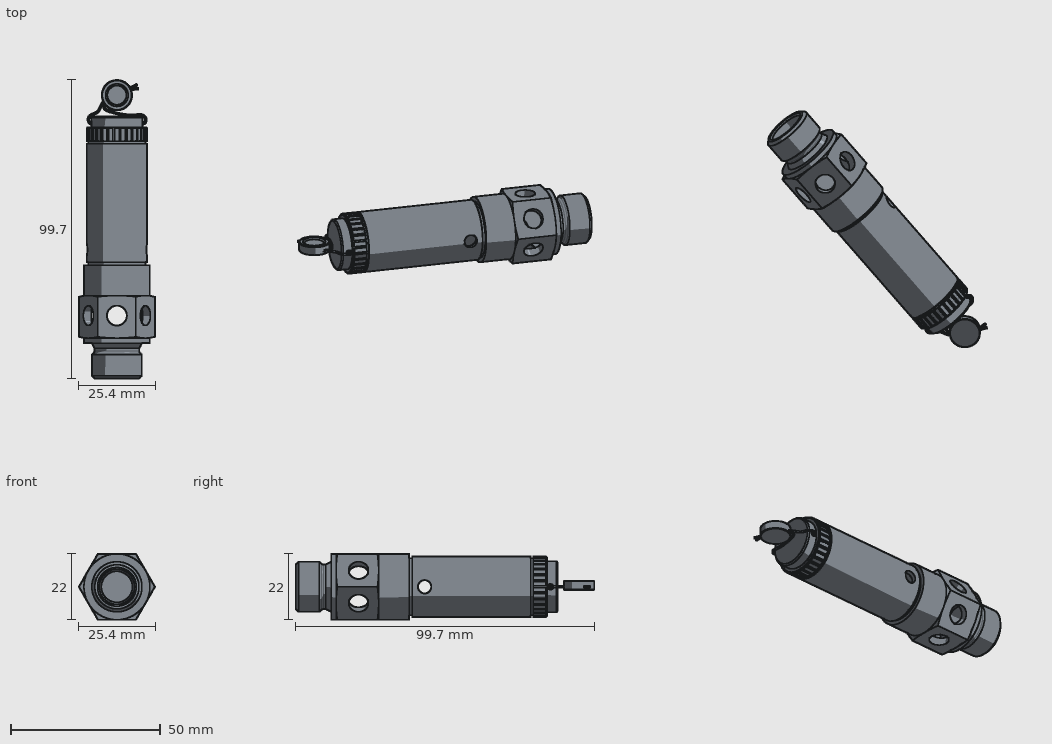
import cadquery as cq
import math


THREAD_R = 8.4
INLET_CHAMFER = 1.0
THREAD_END_Y = 8.0
GROOVE_R = 7.5
GROOVE_END_Y = 10.1
GROOVE_FILLET_R = 1.1
GROOVE_CONE_ANGLE = math.radians(45)

ACROSS_FLATS = 22.0
HEX_SIDES = 6
COLLAR_R = ACROSS_FLATS / 2
HEX_CORNER_R = COLLAR_R / math.cos(math.pi / HEX_SIDES)
FLANGE_Y = 11.9
HEX_START_Y = 13.6
HEX_END_Y = 27.7
HEX_CORNER_DROP = 0.4
HOUSING_END_Y = 37.9
OUTLET_PAIRS = 3
OUTLET_R = 3.3
OUTLET_Y = 21.0

MOUTH_R = 6.5
INLET_R = 5.9
INLET_END_Y = 5.0
SEAT_R = 5.2
SEAT_Y = 13.0
CHAMBER_R = 8.6

DISC_START_Y = 33.1
DISC_END_Y = 40.4
DISH_SPHERE_R = 16.9

TUBE_R = 10.12
TUBE_NECK_R = 9.6
TUBE_NECK_END_Y = 38.9
TUBE_END_Y = 78.5
VENT_R = 2.2
VENT_Y = 43.1

CAP_NECK_R = TUBE_NECK_R
GRIP_START_Y = 79.3
GRIP_END_Y = 83.9
GRIP_CHAMFER = 0.4
GRIP_GROOVES = 30
GRIP_GROOVE_WIDTH = 0.6
GRIP_GROOVE_DEPTH = 0.5
KNOB_R = 8.6
KNOB_END_Y = 87.5
KNOB_CHAMFER = 0.5
WIRE_HOLE_R = 0.5
WIRE_HOLE_Y = 85.0
WIRE_MOUTH_R = 1.0
WIRE_MOUTH_DEPTH = 1.0

TOTAL_LENGTH = 99.7
SEAL_R = 5.1
SEAL_Y = TOTAL_LENGTH - SEAL_R
SEAL_BOTTOM_Z = -1.1
SEAL_TOP_Z = 2.0
SEAL_CHAMFER = 0.2
SEAL_RECESS_R = 3.8
SEAL_FLOOR_R = 3.2
SEAL_RECESS_DEPTH = 0.5

WIRE_R = 0.3
STRAND_OFFSET = 0.35
STRAND_REACH = 4.0
STRAND_ANGLE = math.radians(27)
UPPER_TAIL_END = (6.7, 98.1)
UPPER_TAIL_BEND = (5.6, 97.5)
LOWER_TAIL_END = (7.2, 96.7)
LEFT_BENDS = [(-4.8, 91.9), (-5.6, 90.4), (-6.6, 88.9), (-8.3, 88.1), (-9.4, 87.1), (-9.5, 85.9)]
RIGHT_BENDS = [
    (9.6, 85.7), (9.6, 86.8), (8.7, 87.8), (6.0, 87.9),
    (2.2, 88.1), (-1.3, 88.8), (-3.1, 89.4), (-4.2, 90.2), (-4.2, 91.4),
]


def turned(outline, seam_angle=0):
    """Revolve a closed half outline, drawn as (radius, y), around the Y axis."""
    body = outline.close().revolve(360, (0, 0), (0, 1))
    return body.rotate((0, 0, 0), (0, 1, 0), seam_angle)


def cross_hole(radius, y, angle):
    """A bar right across the body, turned by an angle from Z around the Y axis."""
    bar = cq.Workplane("XY").center(0, y).circle(radius).extrude(HEX_CORNER_R, both=True)
    return bar.rotate((0, 0, 0), (0, 1, 0), angle)


def make_hexagon():
    """The hexagon with its corners on +X and -X, and its corners coned off at both ends."""
    hexagon = (
        cq.Workplane("XZ").workplane(offset=-HEX_START_Y)
        .polygon(HEX_SIDES, 2 * HEX_CORNER_R).extrude(HEX_START_Y - HEX_END_Y)
    )
    envelope = turned(
        cq.Workplane("XY").moveTo(0, HEX_START_Y)
        .lineTo(COLLAR_R, HEX_START_Y)
        .lineTo(HEX_CORNER_R, HEX_START_Y + HEX_CORNER_DROP)
        .lineTo(HEX_CORNER_R, HEX_END_Y - HEX_CORNER_DROP)
        .lineTo(COLLAR_R, HEX_END_Y)
        .lineTo(0, HEX_END_Y)
    )
    return hexagon.intersect(envelope)


def make_housing():
    fillet_end_y = (
        THREAD_END_Y
        + (THREAD_R - GROOVE_R) / math.tan(GROOVE_CONE_ANGLE)
        + GROOVE_FILLET_R * math.tan(GROOVE_CONE_ANGLE / 2)
    )
    fillet_centre_r = GROOVE_R + GROOVE_FILLET_R

    def fillet_point(angle):
        return (
            fillet_centre_r - GROOVE_FILLET_R * math.cos(angle),
            fillet_end_y - GROOVE_FILLET_R * math.sin(angle),
        )

    outside = turned(
        cq.Workplane("XY").moveTo(0, 0)
        .lineTo(THREAD_R - INLET_CHAMFER, 0)
        .lineTo(THREAD_R, INLET_CHAMFER)
        .lineTo(THREAD_R, THREAD_END_Y)
        .lineTo(*fillet_point(GROOVE_CONE_ANGLE))
        .threePointArc(fillet_point(GROOVE_CONE_ANGLE / 2), fillet_point(0))
        .lineTo(GROOVE_R, GROOVE_END_Y)
        .lineTo(THREAD_R, FLANGE_Y)
        .lineTo(COLLAR_R, FLANGE_Y)
        .lineTo(COLLAR_R, HOUSING_END_Y)
        .lineTo(0, HOUSING_END_Y),
        seam_angle=180,
    )
    inside = turned(
        cq.Workplane("XY").moveTo(0, 0)
        .lineTo(MOUTH_R, 0)
        .lineTo(INLET_R, MOUTH_R - INLET_R)
        .lineTo(INLET_R, INLET_END_Y)
        .lineTo(SEAT_R, SEAT_Y)
        .lineTo(CHAMBER_R, SEAT_Y)
        .lineTo(CHAMBER_R, HOUSING_END_Y)
        .lineTo(0, HOUSING_END_Y)
    )
    housing = outside.union(make_hexagon()).cut(inside)
    for index in range(OUTLET_PAIRS):
        housing = housing.cut(cross_hole(OUTLET_R, OUTLET_Y, index * 180 / OUTLET_PAIRS))
    return housing


def make_valve_disc():
    """A plug in the chamber, hollowed by a spherical dish that faces the inlet."""
    rim_angle = math.asin(CHAMBER_R / DISH_SPHERE_R)
    centre_y = DISC_START_Y - DISH_SPHERE_R * math.cos(rim_angle)

    def dish_point(angle):
        return (DISH_SPHERE_R * math.sin(angle), centre_y + DISH_SPHERE_R * math.cos(angle))

    return turned(
        cq.Workplane("XY").moveTo(0, DISC_END_Y)
        .lineTo(CHAMBER_R, DISC_END_Y)
        .lineTo(*dish_point(rim_angle))
        .threePointArc(dish_point(rim_angle / 2), dish_point(0))
    )


def make_tube():
    tube = turned(
        cq.Workplane("XY").moveTo(CHAMBER_R, HOUSING_END_Y)
        .lineTo(TUBE_NECK_R, HOUSING_END_Y)
        .lineTo(TUBE_NECK_R, TUBE_NECK_END_Y)
        .lineTo(TUBE_R, TUBE_NECK_END_Y)
        .lineTo(TUBE_R, TUBE_END_Y)
        .lineTo(CHAMBER_R, TUBE_END_Y),
        seam_angle=-90,
    )
    return tube.cut(cross_hole(VENT_R, VENT_Y, 90))


def make_wire_mouths():
    """Countersinks on the two sides of the knob where the wire enters and leaves."""
    return (
        cq.Workplane("XY", origin=(0, WIRE_HOLE_Y, 0))
        .moveTo(-KNOB_R, WIRE_MOUTH_R)
        .lineTo(WIRE_MOUTH_DEPTH - KNOB_R, 0)
        .lineTo(-KNOB_R, 0)
        .close()
        .moveTo(KNOB_R, WIRE_MOUTH_R)
        .lineTo(KNOB_R - WIRE_MOUTH_DEPTH, 0)
        .lineTo(KNOB_R, 0)
        .close()
        .revolve(360, (0, 0), (1, 0))
    )


def make_cap():
    """A knob above a grooved grip ring, with a wire hole straight across the knob."""
    cap = turned(
        cq.Workplane("XY").moveTo(0, TUBE_END_Y)
        .lineTo(CAP_NECK_R, TUBE_END_Y)
        .lineTo(CAP_NECK_R, GRIP_START_Y)
        .lineTo(TUBE_R, GRIP_START_Y)
        .lineTo(TUBE_R, GRIP_END_Y - GRIP_CHAMFER)
        .lineTo(TUBE_R - GRIP_CHAMFER, GRIP_END_Y)
        .lineTo(KNOB_R, GRIP_END_Y)
        .lineTo(KNOB_R, KNOB_END_Y - KNOB_CHAMFER)
        .lineTo(KNOB_R - KNOB_CHAMFER, KNOB_END_Y)
        .lineTo(0, KNOB_END_Y),
        seam_angle=-90,
    )
    groove = (
        cq.Workplane("XY")
        .box(2 * GRIP_GROOVE_DEPTH, GRIP_END_Y - GRIP_START_Y, GRIP_GROOVE_WIDTH)
        .translate((TUBE_R, (GRIP_START_Y + GRIP_END_Y) / 2, 0))
    )
    for index in range(GRIP_GROOVES):
        cap = cap.cut(groove.rotate((0, 0, 0), (0, 1, 0), index * 360 / GRIP_GROOVES))
    return cap.cut(make_wire_mouths()).cut(cross_hole(WIRE_HOLE_R, WIRE_HOLE_Y, 90))


def strand_point(along, across):
    """A point placed along and across the straight strands, from the centre of the seal."""
    cosine = math.cos(STRAND_ANGLE)
    sine = math.sin(STRAND_ANGLE)
    return (along * cosine - across * sine, SEAL_Y + along * sine + across * cosine)


def make_wire():
    """One wire: tail, through the seal, left side, through the cap, right side, seal, tail."""
    seal_stations = (STRAND_REACH, 0, -STRAND_REACH)
    upper_strand = [strand_point(along, STRAND_OFFSET) for along in seal_stations]
    lower_strand = [strand_point(along, -STRAND_OFFSET) for along in reversed(seal_stations)]
    straight_x = KNOB_R - WIRE_MOUTH_DEPTH
    cap_strand = [(x, WIRE_HOLE_Y) for x in (-KNOB_R, -straight_x, 0, straight_x, KNOB_R)]
    route = [
        UPPER_TAIL_END, UPPER_TAIL_BEND, *upper_strand, *LEFT_BENDS, *cap_strand,
        *RIGHT_BENDS, *lower_strand, LOWER_TAIL_END,
    ]
    path = cq.Workplane("XY").spline(route)
    start = cq.Plane(origin=path.val().startPoint(), normal=path.val().tangentAt(0))
    return cq.Workplane(start).circle(WIRE_R).sweep(path)


def make_seal(wire):
    """A round lead seal with a tapered recess on top, pressed around the wire."""
    height = SEAL_TOP_Z - SEAL_BOTTOM_Z
    seal = (
        cq.Workplane("XY", origin=(0, SEAL_Y, SEAL_BOTTOM_Z))
        .circle(SEAL_R).extrude(height).edges().chamfer(SEAL_CHAMFER)
    )
    recess = (
        cq.Workplane("XY", origin=(0, SEAL_Y, SEAL_TOP_Z))
        .circle(SEAL_RECESS_R)
        .workplane(offset=-SEAL_RECESS_DEPTH)
        .circle(SEAL_FLOOR_R)
        .loft()
    )
    return seal.cut(recess).cut(wire)


housing = make_housing()
valve_disc = make_valve_disc()
tube = make_tube()
wire = make_wire()
cap = make_cap()
seal = make_seal(wire)

bodies = [housing, valve_disc, tube, cap, wire, seal]
result = cq.Compound.makeCompound([body.solids().val() for body in bodies])